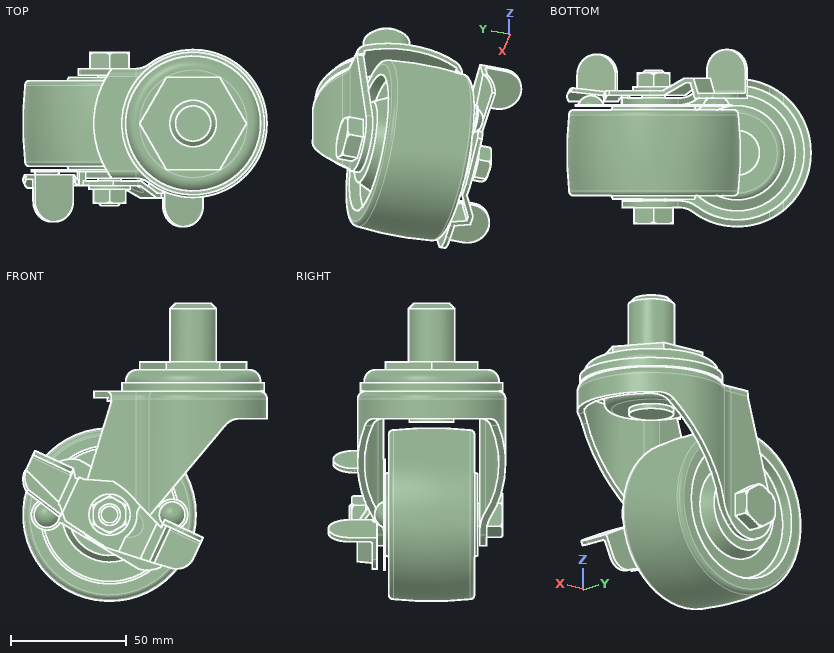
import cadquery as cq
import math


caster_offset = 36.1
wheel_radius = 37.5
wheel_half_width = 18.6
stem_top = 91.5
fork_top = 53.4

sheet = 3.0
skirt_radius = 32.0
skirt_bottom = 41.4
leg_outer = 23.7
leg_inner = leg_outer - sheet
leg_end_radius = 13.5
bend_radius = 3.4
skirt_blend = 9.0
leg_front_top = (-35.3, 49.0)
skirt_corner_x = 16.3
skirt_corner_radius = 7.7
nose_radius = 40.0
nose_reach = 43.0
fork_bottom = -leg_end_radius
swivel_bore_radius = 15.5

stem_radius = 10.0
stem_chamfer = 2.5
hex_flats = 40.0
hex_bottom = 62.5
hex_top = 66.0
dome_top_radius = 23.2
dome_radius = 29.2
dome_shoulder = (28.0, 60.9)
flange_radius = 30.8
flange_top = 57.0
cup_radius = 20.4
cup_top = 47.9
cup_bottom = 42.2
race_radius = 25.2
cup_round = 3.1
stem_end_radius = 9.7
stem_end_bottom = 40.0

tread_edge_radius = 36.6
tread_round = 2.0
recess_radius = 29.9
recess_floor_radius = 28.9
recess_depth = 4.5
boss_base_radius = 20.5
boss_top_radius = 17.7

axle_radius = 5.0
axle_end_chamfer = 1.4
axle_end = 35.6
head_flats = 17.0
head_height = 7.0
washer_radius = 8.9
washer_thickness = 1.7
nut_flats = 14.0
nut_height = 6.0
hex_edge_break = 0.8

plate_thickness = 0.8
plate_inner = leg_inner - plate_thickness
dimple_offset = 27.1
dimple_seat_radius = 6.7
dimple_radius = 5.5
dimple_height = 3.9

lever_tilt = 25.0
lever_sheet = 2.0
strip_half_width = 19.3
lever_face = 26.8
pedal_length = 18.3
pedal_end = 40.9
pedal_bend_radius = 1.9
pedal_root_radius = 1.0
left_face = 24.1
left_pedal_top = 11.5
left_reach = 42.6
right_face = 25.7
right_pedal_top = 8.1
right_reach = 44.6
hump_face = 32.2
left_bend = -22.2
step_run = 3.4
hump_foot = 10.3
hump_crest_start = 20.1
hump_crest_end = 24.3
right_bend = 26.3
dish_radius = 11.9
dish_slope = 0.79
flare_angle = 36.0
flare_start = (-41.1, 1.7)
flare_end = (-21.0, -5.5)
flare_arc_mid = (3.2, -5.3)
flare_arc_end = (6.8, -7.4)
flare_depth_end = 4.5
flare_overrun = 3.2
hook_start = -18.7
hook_width = 3.1
hook_bottom = 7.1

pick_margin = 0.1


def side_cylinder(radius, y_from, y_to):
    """Cylinder along Y, centred on X = Z = 0."""
    return cq.Workplane("XZ", origin=(0, y_from, 0)).circle(radius).extrude(y_from - y_to)


def side_hexagon(flats, y_from, y_to):
    """Hexagonal prism along Y with corners at the top and bottom, its outer end edges broken."""
    diameter = flats / math.cos(math.pi / 6)
    prism = cq.Workplane("XZ", origin=(0, y_from, 0)).polygon(6, diameter).extrude(y_from - y_to)
    prism = prism.rotate((0, 0, 0), (0, 1, 0), 30)
    end_cone = side_cylinder(diameter / 2, y_from, y_to)
    end_cone = end_cone.faces(">Y" if y_to > y_from else "<Y").chamfer(hex_edge_break)
    return prism.intersect(end_cone)


def tangent_point(point, radius, side):
    """Where the tangent from a point touches a circle about the axle; side is +1 or -1."""
    dx = point[0] + caster_offset
    dz = point[1]
    angle = math.atan2(dz, dx) + side * math.acos(radius / math.hypot(dx, dz))
    return (-caster_offset + radius * math.cos(angle), radius * math.sin(angle))


def fork_plan(radius, half_width, blend, z_top):
    """Round skirt running into two straight legs, from the leg ends up to z_top."""
    height = z_top - fork_bottom
    base = cq.Workplane("XY", origin=(0, 0, fork_bottom))
    skirt = base.circle(radius).extrude(height)
    legs = base.center(-radius, 0).rect(2 * radius, 2 * half_width).extrude(height)
    corner_x = -math.sqrt(radius**2 - half_width**2)
    corners = cq.selectors.BoxSelector(
        (corner_x - pick_margin, -radius, fork_bottom), (corner_x + pick_margin, radius, z_top)
    )
    return skirt.union(legs).edges("|Z").edges(corners).fillet(blend)


def fork_side_envelope():
    """Side outline of the legs and skirt, plus the round-nosed top plate."""
    skirt_corner = (skirt_corner_x, skirt_bottom)
    front_tangent = tangent_point(leg_front_top, leg_end_radius, 1)
    rear_tangent = tangent_point(skirt_corner, leg_end_radius, -1)
    legs = (
        cq.Workplane("XZ", origin=(0, skirt_radius, 0))
        .moveTo(leg_front_top[0], fork_top)
        .lineTo(*leg_front_top)
        .lineTo(*front_tangent)
        .threePointArc((-caster_offset, -leg_end_radius), rear_tangent)
        .lineTo(*skirt_corner)
        .lineTo(skirt_radius, skirt_bottom)
        .lineTo(skirt_radius, fork_top)
        .close()
        .extrude(2 * skirt_radius)
    )
    corner = cq.selectors.BoxSelector(
        (skirt_corner_x - pick_margin, -skirt_radius, skirt_bottom - pick_margin),
        (skirt_corner_x + pick_margin, skirt_radius, skirt_bottom + pick_margin),
    )
    legs = legs.edges("|Y").edges(corner).fillet(skirt_corner_radius)
    plate_bottom = leg_front_top[1]
    nose = (
        cq.Workplane("XY", origin=(nose_radius - nose_reach, 0, plate_bottom))
        .circle(nose_radius)
        .extrude(fork_top - plate_bottom)
    )
    return legs.union(nose)


def make_fork():
    outside = fork_plan(skirt_radius, leg_outer, skirt_blend, fork_top)
    outside = outside.faces(">Z").edges("not(<X)").fillet(bend_radius)
    inside = fork_plan(skirt_radius - sheet, leg_inner, skirt_blend + sheet, fork_top - sheet)
    front_opening = cq.Workplane("XY", origin=(-2 * skirt_radius, 0, fork_bottom)).box(
        2 * sheet, 2 * leg_inner, fork_top - sheet - fork_bottom, centered=(True, True, False)
    )
    fork = outside.cut(inside).cut(front_opening).intersect(fork_side_envelope())
    bore = cq.Workplane("XY", origin=(0, 0, skirt_bottom)).circle(swivel_bore_radius).extrude(fork_top)
    axle_hole = side_cylinder(axle_radius, leg_outer, -leg_outer).translate((-caster_offset, 0, 0))
    return fork.cut(bore).cut(axle_hole)


def make_swivel():
    plate_bottom = fork_top - sheet
    cup_mid = cup_round * (1 - math.sqrt(0.5))
    body = (
        cq.Workplane("XZ")
        .moveTo(0, stem_end_bottom)
        .lineTo(stem_end_radius, stem_end_bottom)
        .lineTo(stem_end_radius, cup_bottom)
        .lineTo(cup_radius - cup_round, cup_bottom)
        .threePointArc(
            (cup_radius - cup_mid, cup_bottom + cup_mid), (cup_radius, cup_bottom + cup_round)
        )
        .lineTo(cup_radius, cup_top)
        .lineTo(race_radius, plate_bottom)
        .lineTo(swivel_bore_radius, plate_bottom)
        .lineTo(swivel_bore_radius, fork_top)
        .lineTo(flange_radius, fork_top)
        .lineTo(flange_radius, flange_top)
        .lineTo(dome_radius, flange_top)
        .threePointArc(dome_shoulder, (dome_top_radius, hex_bottom))
        .lineTo(stem_radius, hex_bottom)
        .lineTo(stem_radius, stem_top - stem_chamfer)
        .lineTo(stem_radius - stem_chamfer, stem_top)
        .lineTo(0, stem_top)
        .close()
        .revolve(360, (0, 0, 0), (0, 1, 0))
    )
    hexagon = (
        cq.Workplane("XY", origin=(0, 0, hex_bottom))
        .polygon(6, hex_flats / math.cos(math.pi / 6))
        .extrude(hex_top - hex_bottom)
    )
    return body.union(hexagon)


def make_wheel():
    """Crowned tread, a recess in each face and a conical boss around the axle."""
    floor_y = wheel_half_width - recess_depth
    tread_side = wheel_half_width - tread_round
    round_mid = tread_round * (1 - math.sqrt(0.5))
    wheel = (
        cq.Workplane("XY")
        .moveTo(axle_radius, -plate_inner)
        .lineTo(boss_top_radius, -plate_inner)
        .lineTo(boss_base_radius, -floor_y)
        .lineTo(recess_floor_radius, -floor_y)
        .lineTo(recess_radius, -wheel_half_width)
        .lineTo(tread_edge_radius - tread_round, -wheel_half_width)
        .threePointArc(
            (tread_edge_radius - round_mid, -wheel_half_width + round_mid),
            (tread_edge_radius, -tread_side),
        )
        .threePointArc((wheel_radius, 0), (tread_edge_radius, tread_side))
        .threePointArc(
            (tread_edge_radius - round_mid, wheel_half_width - round_mid),
            (tread_edge_radius - tread_round, wheel_half_width),
        )
        .lineTo(recess_radius, wheel_half_width)
        .lineTo(recess_floor_radius, floor_y)
        .lineTo(boss_base_radius, floor_y)
        .lineTo(boss_top_radius, plate_inner)
        .lineTo(axle_radius, plate_inner)
        .close()
        .revolve(360, (0, 0, 0), (0, 1, 0))
    )
    return wheel.translate((-caster_offset, 0, 0))


def make_axle():
    washer_outer = lever_face + washer_thickness
    shank = side_cylinder(axle_radius, leg_outer, -axle_end).faces("<Y").chamfer(axle_end_chamfer)
    head = side_hexagon(head_flats, leg_outer, leg_outer + head_height)
    washer = side_cylinder(washer_radius, -lever_face, -washer_outer)
    nut = side_hexagon(nut_flats, -washer_outer, -washer_outer - nut_height)
    return shank.union(head).union(washer).union(nut).translate((-caster_offset, 0, 0))


def brake_dimple():
    """Round seat carrying a spherical cap that bulges away from the wheel."""
    sphere_radius = (dimple_radius**2 + dimple_height**2) / (2 * dimple_height)
    mid_angle = math.asin(dimple_radius / sphere_radius) / 2
    tip = -leg_inner - dimple_height
    cap_mid = (
        sphere_radius * math.sin(mid_angle),
        tip + sphere_radius * (1 - math.cos(mid_angle)),
    )
    return (
        cq.Workplane("XY")
        .moveTo(0, -plate_inner)
        .lineTo(dimple_seat_radius, -plate_inner)
        .lineTo(dimple_seat_radius, -leg_inner)
        .lineTo(dimple_radius, -leg_inner)
        .threePointArc(cap_mid, (0, tip))
        .close()
        .revolve(360, (0, 0, 0), (0, 1, 0))
    )


def make_brake_plate():
    """Thin skewed plate between wheel and fork, with a domed dimple at each end."""
    lobe_start = (12.9, -23.6)
    lobe_mid = (17.4, -24.0)
    lobe_end = (22.2, -22.7)
    half_turn = [(-x, -z) for x, z in (lobe_start, lobe_mid, lobe_end)]
    plate = (
        cq.Workplane("XZ", origin=(0, -plate_inner, 0))
        .moveTo(-dimple_offset, 0)
        .lineTo(*lobe_start)
        .threePointArc(lobe_mid, lobe_end)
        .lineTo(dimple_offset, 0)
        .lineTo(*half_turn[0])
        .threePointArc(half_turn[1], half_turn[2])
        .close()
        .extrude(plate_thickness)
    )
    for x in (-dimple_offset, dimple_offset):
        plate = plate.union(brake_dimple().translate((x, 0, 0)))
    plate = plate.cut(side_cylinder(axle_radius, -plate_inner, -leg_inner))
    return plate.translate((-caster_offset, 0, 0))


def offset_line(points, distance):
    """Open line through the points shifted sideways to its left, with mitred corners."""
    directions = []
    for (x0, y0), (x1, y1) in zip(points, points[1:]):
        directions.append(math.atan2(y1 - y0, x1 - x0))
    shifted = []
    for (x, y), before, after in zip(points, directions[:1] + directions, directions + directions[-1:]):
        normal = (before + after + math.pi) / 2
        reach = distance / math.cos((after - before) / 2)
        shifted.append((x + reach * math.cos(normal), y + reach * math.sin(normal)))
    return shifted


def lever_strip():
    """Bent strip: left pedal, step up to the axle, hump, and back down to the right pedal."""
    outer_line = [
        (-pedal_end, -left_face),
        (left_bend, -left_face),
        (left_bend + step_run, -lever_face),
        (hump_foot, -lever_face),
        (hump_crest_start, -hump_face),
        (hump_crest_end, -hump_face),
        (right_bend, -right_face),
        (pedal_end, -right_face),
    ]
    inner_line = offset_line(outer_line, lever_sheet)
    section = outer_line + inner_line[::-1]
    strip = cq.Workplane("XY").polyline(section).close()
    return strip.extrude(strip_half_width, both=True)


def lever_outline():
    """Lever blank in the u-v plane, without the flared strip and the flanges."""
    return (
        cq.Workplane("XZ")
        .moveTo(-pedal_end, left_pedal_top)
        .lineTo(-pedal_end + pedal_length, left_pedal_top)
        .lineTo(-20.0, 8.0)
        .lineTo(-14.6, 9.9)
        .lineTo(-4.6, 13.7)
        .threePointArc((2.2, 12.4), (8.9, 9.7))
        .lineTo(pedal_end - pedal_length, 4.4)
        .lineTo(pedal_end - pedal_length, right_pedal_top)
        .lineTo(pedal_end, right_pedal_top)
        .lineTo(pedal_end, -1.3)
        .threePointArc((39.0, -7.0), (32.8, -9.8))
        .lineTo(26.6, -10.8)
        .lineTo(4.5, -13.5)
        .lineTo(-16.3, -10.5)
        .lineTo(*flare_end)
        .lineTo(*flare_start)
        .close()
        .extrude(2 * left_reach)
    )


def lever_flange(u_start, v_top, face, reach):
    """Finger tab standing out from the top edge of a pedal, its free end fully rounded."""
    back = face - lever_sheet
    end_flat = 0.01
    tab = cq.Workplane("XY").box(pedal_length, reach - back, lever_sheet, centered=False)
    tab = tab.edges("|Z and <Y").fillet(pedal_length / 2 - end_flat)
    tab = tab.edges("|X and >Y and >Z").fillet(pedal_bend_radius)
    return tab.translate((u_start, -reach, v_top - lever_sheet))


def lever_dish():
    """Conical clearance that rounds the foot of the hump about the axle."""
    rim_y = -hump_face
    rim_radius = dish_radius + (hump_face - lever_face) / dish_slope
    return (
        cq.Workplane("XY")
        .moveTo(0, -lever_face)
        .lineTo(dish_radius, -lever_face)
        .lineTo(rim_radius, rim_y)
        .lineTo(0, rim_y)
        .close()
        .revolve(360, (0, 0, 0), (0, 1, 0))
    )


def fillet_flange_root(lever, u_start, v_root, face):
    """Round the inner corner where a flange leaves its pedal."""
    middle = u_start + pedal_length / 2
    root = cq.selectors.BoxSelector(
        (middle - pedal_length / 4, -face - pick_margin, v_root - pick_margin),
        (middle + pedal_length / 4, -face + pick_margin, v_root + pick_margin),
    )
    return lever.edges("|X").edges(root).fillet(pedal_root_radius)


def lever_flare():
    """Lower strip of the left pedal, bent outward about a slanted line."""
    du = flare_end[0] - flare_start[0]
    dv = flare_end[1] - flare_start[1]
    length = math.hypot(du, dv)
    back = lever_sheet - left_face
    strip = (
        cq.Workplane("XZ")
        .moveTo(0, 0)
        .threePointArc(flare_arc_mid, flare_arc_end)
        .lineTo(length + flare_overrun, -flare_depth_end)
        .lineTo(length, 0)
        .close()
        .extrude(lever_sheet)
        .rotate((0, 0, 0), (1, 0, 0), -flare_angle)
    )
    slope = math.degrees(math.atan2(dv, du))
    strip = strip.rotate((0, 0, 0), (0, 1, 0), -slope)
    return strip.translate((flare_start[0], back, flare_start[1]))


def make_lever():
    lever = lever_strip().intersect(lever_outline()).cut(lever_dish())
    lever = lever.union(lever_flare())
    right_pedal_start = pedal_end - pedal_length
    flanges = [
        (-pedal_end, left_pedal_top, left_face, left_reach),
        (right_pedal_start, right_pedal_top, right_face, right_reach),
    ]
    for u_start, v_top, face, reach in flanges:
        lever = lever.union(lever_flange(u_start, v_top, face, reach))
        lever = fillet_flange_root(lever, u_start, v_top - lever_sheet, face)
    hook = cq.Workplane("XY").box(hook_width, lever_face - leg_inner, lever_sheet, centered=False)
    lever = lever.union(hook.translate((hook_start, -lever_face, hook_bottom)))
    lever = lever.cut(side_cylinder(axle_radius, 0, -lever_face))
    return lever.rotate((0, 0, 0), (0, 1, 0), lever_tilt).translate((-caster_offset, 0, 0))


fork = make_fork()
swivel = make_swivel()
wheel = make_wheel()
axle = make_axle()
brake_plate = make_brake_plate()
lever = make_lever()
result = cq.Compound.makeCompound(
    [body.solids().val() for body in (fork, swivel, wheel, axle, brake_plate, lever)]
)